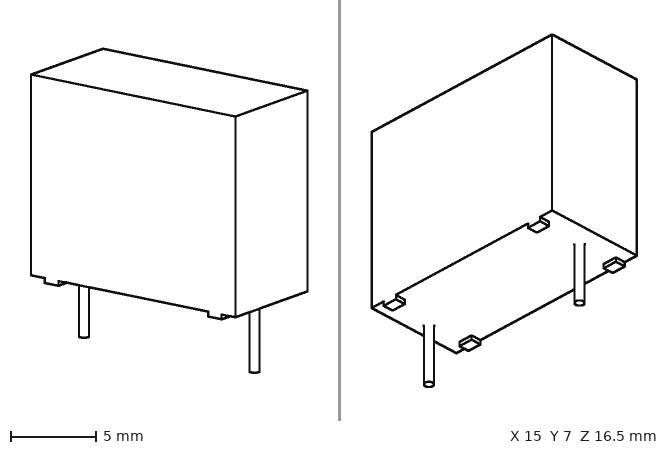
import cadquery as cq
import math

body_length = 15.0
body_depth = 7.0
overall_height = 16.5

foot_height = 0.3
foot_length = 1.0
foot_depth = 0.75
foot_end_gap = 1.0

lead_diameter = 0.6
lead_pitch = 12.5
lead_length = 4.0
root_flare = foot_height

foot_bottom = lead_length
body_bottom = foot_bottom + foot_height
body_height = overall_height - body_bottom
foot_x = body_length / 2 - foot_end_gap - foot_length / 2
foot_y = body_depth / 2 - foot_depth / 2
lead_radius = lead_diameter / 2


def make_body():
    return (
        cq.Workplane("XY", origin=(0, 0, body_bottom))
        .box(body_length, body_depth, body_height, centered=(True, True, False))
    )


def make_feet():
    return (
        cq.Workplane("XY", origin=(0, 0, foot_bottom))
        .rect(2 * foot_x, 2 * foot_y, forConstruction=True)
        .vertices()
        .box(foot_length, foot_depth, foot_height, centered=(True, True, False))
    )


def make_lead(x):
    """Revolve a lead that widens through a concave quarter round into the body."""
    arc_bottom = body_bottom - root_flare
    diagonal_offset = root_flare * math.sin(math.radians(45))
    arc_middle = (lead_radius + root_flare - diagonal_offset, arc_bottom + diagonal_offset)
    return (
        cq.Workplane("XZ")
        .lineTo(lead_radius, 0)
        .lineTo(lead_radius, arc_bottom)
        .threePointArc(arc_middle, (lead_radius + root_flare, body_bottom))
        .lineTo(0, body_bottom)
        .close()
        .revolve(360, (0, 0, 0), (0, 1, 0))
        .translate((x, 0, 0))
    )


result = make_body().union(make_feet())
for side in (-1, 1):
    result = result.union(make_lead(side * lead_pitch / 2))